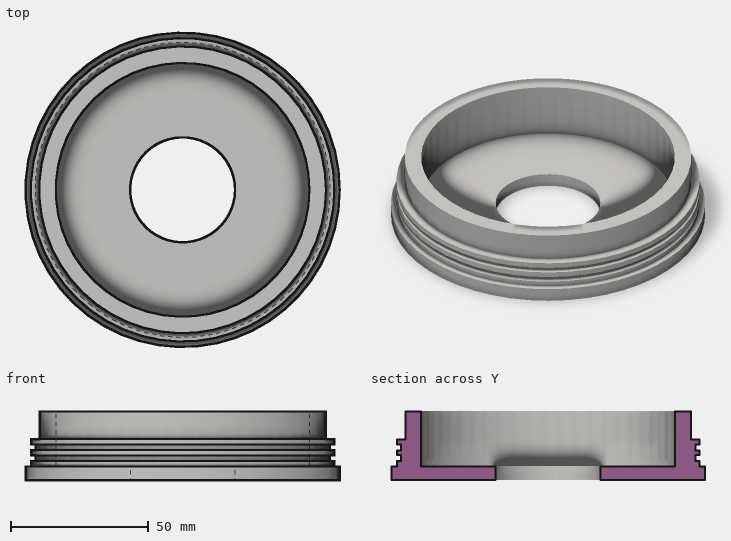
import cadquery as cq

flange_diameter = 114.0
total_height = 25.0

flange_height = 5.0
collar_diameter = 104.0
collar_height = 10.0
ring_diameter = 110.0
groove_diameter = 107.0
ring_count = 3
band_count = 2 * ring_count - 1
band_height = (total_height - flange_height - collar_height) / band_count

bore_diameter = 92.0
floor_thickness = flange_height
hole_diameter = 38.0


def disc(diameter, bottom, height):
    """Solid disc on the Z axis, starting at the given height."""
    return cq.Workplane("XY").workplane(offset=bottom).circle(diameter / 2).extrude(height)


body = disc(flange_diameter, 0, flange_height)

for band in range(band_count):
    band_diameter = ring_diameter if band % 2 == 0 else groove_diameter
    body = body.union(disc(band_diameter, flange_height + band * band_height, band_height))

body = body.union(disc(collar_diameter, total_height - collar_height, collar_height))

body = body.cut(disc(bore_diameter, floor_thickness, total_height - floor_thickness))
result = body.cut(disc(hole_diameter, 0, floor_thickness))